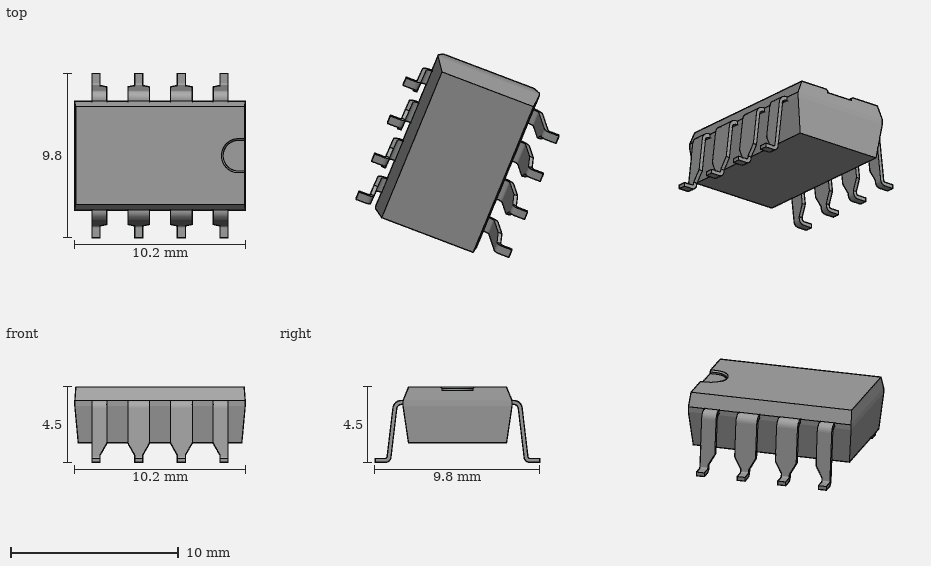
import cadquery as cq
import math


HOUSING_LENGTH = 10.16
HOUSING_WIDTH = 6.5
HOUSING_TOP = 4.5
HOUSING_BOTTOM = 1.17
BAND_TOP = 3.69
BAND_BOTTOM = 3.35
TOP_INSET_X = 0.06
TOP_INSET_Y = 0.34
BOTTOM_INSET_X = 0.2
BOTTOM_INSET_Y = 0.33

NOTCH_RADIUS = 1.02
NOTCH_CENTER_X = 4.67
NOTCH_DEPTH = 0.2
NOTCH_CHAMFER = 0.1
NOTCH_CHAMFER_ANGLE = 45.0

LEADS_PER_SIDE = 4
LEAD_TOP = 3.7
ROOT_DEPTH = 0.2
LEAD_PITCH = 2.54
LEAD_WIDTH = 1.3
STEM_WIDTH = 0.5
SHEET_THICKNESS = 0.24
SHOULDER_BOTTOM = 1.18
STEM_TOP = 0.47
LEG_TILT = math.radians(6.8)
UPPER_INNER_RADIUS = 0.27
LOWER_INNER_RADIUS = 0.1
OVERALL_WIDTH = 9.8
FOOT_TIP_Y = OVERALL_WIDTH / 2
FOOT_LENGTH = 0.6


def make_tapered_block(z_start, z_end, inset_x, inset_y):
    """Block from the full housing outline at z_start to an inset outline at z_end."""
    return (
        cq.Workplane("XY")
        .workplane(offset=z_start)
        .rect(HOUSING_LENGTH, HOUSING_WIDTH)
        .workplane(offset=z_end - z_start)
        .rect(HOUSING_LENGTH - 2 * inset_x, HOUSING_WIDTH - 2 * inset_y)
        .loft(ruled=True)
    )


def make_notch():
    """Shallow round-ended recess, open at the +X end, with a chamfered rim."""

    def make_channel(radius, depth, taper):
        open_end = HOUSING_LENGTH / 2 + NOTCH_RADIUS
        return (
            cq.Workplane("XY")
            .workplane(offset=HOUSING_TOP)
            .moveTo(open_end, radius)
            .lineTo(NOTCH_CENTER_X, radius)
            .threePointArc((NOTCH_CENTER_X - radius, 0), (NOTCH_CENTER_X, -radius))
            .lineTo(open_end, -radius)
            .close()
            .extrude(-depth, taper=taper)
        )

    rim = make_channel(NOTCH_RADIUS, NOTCH_CHAMFER, NOTCH_CHAMFER_ANGLE)
    recess = make_channel(NOTCH_RADIUS - NOTCH_CHAMFER, NOTCH_DEPTH, 0)
    return rim.union(recess)


def make_housing(leads):
    """Moulded body with a matching pocket for the root of every lead."""
    band = (
        cq.Workplane("XY")
        .workplane(offset=BAND_BOTTOM)
        .rect(HOUSING_LENGTH, HOUSING_WIDTH)
        .extrude(BAND_TOP - BAND_BOTTOM)
    )
    upper = make_tapered_block(BAND_TOP, HOUSING_TOP, TOP_INSET_X, TOP_INSET_Y)
    lower = make_tapered_block(BAND_BOTTOM, HOUSING_BOTTOM, BOTTOM_INSET_X, BOTTOM_INSET_Y)
    body = band.union(upper).union(lower).cut(make_notch())
    for lead in leads:
        body = body.cut(lead)
    return body


def point_on_circle(center, radius, angle):
    return (center[0] + radius * math.cos(angle), center[1] + radius * math.sin(angle))


def make_lead_strip():
    """Bent sheet of a +Y lead in its full width, centred on X = 0."""
    upper_outer_radius = UPPER_INNER_RADIUS + SHEET_THICKNESS
    lower_outer_radius = LOWER_INNER_RADIUS + SHEET_THICKNESS
    radius_sum = upper_outer_radius + LOWER_INNER_RADIUS

    lower_center = (FOOT_TIP_Y - FOOT_LENGTH, lower_outer_radius)
    upper_center_z = LEAD_TOP - upper_outer_radius
    leg_drop = upper_center_z - lower_center[1] + radius_sum * math.sin(LEG_TILT)
    leg_spread = leg_drop * math.tan(LEG_TILT) + radius_sum * math.cos(LEG_TILT)
    upper_center = (lower_center[0] - leg_spread, upper_center_z)

    upper_end = LEG_TILT
    upper_middle = (math.pi / 2 + upper_end) / 2
    lower_start = math.pi + LEG_TILT
    lower_end = 3 * math.pi / 2
    lower_middle = (lower_start + lower_end) / 2
    root_y = HOUSING_WIDTH / 2 - ROOT_DEPTH

    return (
        cq.Workplane("YZ")
        .workplane(offset=-LEAD_WIDTH / 2)
        .moveTo(root_y, LEAD_TOP)
        .lineTo(upper_center[0], LEAD_TOP)
        .threePointArc(
            point_on_circle(upper_center, upper_outer_radius, upper_middle),
            point_on_circle(upper_center, upper_outer_radius, upper_end),
        )
        .lineTo(*point_on_circle(lower_center, LOWER_INNER_RADIUS, lower_start))
        .threePointArc(
            point_on_circle(lower_center, LOWER_INNER_RADIUS, lower_middle),
            point_on_circle(lower_center, LOWER_INNER_RADIUS, lower_end),
        )
        .lineTo(FOOT_TIP_Y, SHEET_THICKNESS)
        .lineTo(FOOT_TIP_Y, 0)
        .lineTo(lower_center[0], 0)
        .threePointArc(
            point_on_circle(lower_center, lower_outer_radius, lower_middle),
            point_on_circle(lower_center, lower_outer_radius, lower_start),
        )
        .lineTo(*point_on_circle(upper_center, UPPER_INNER_RADIUS, upper_end))
        .threePointArc(
            point_on_circle(upper_center, UPPER_INNER_RADIUS, upper_middle),
            point_on_circle(upper_center, UPPER_INNER_RADIUS, math.pi / 2),
        )
        .lineTo(root_y, LEAD_TOP - SHEET_THICKNESS)
        .close()
        .extrude(LEAD_WIDTH)
    )


def make_lead_outline(shoulder_sides):
    """Prism of the lead's front outline; each side is -1 or +1 along X.

    The shoulders are cut square to the leg, so they tilt with it about a line along X
    that lies on the outer face of the leg, where the foot's bend begins.
    """
    outline = cq.Workplane("XY").box(STEM_WIDTH, FOOT_TIP_Y, LEAD_TOP, centered=(True, False, False))
    pivot_y = FOOT_TIP_Y - FOOT_LENGTH - LOWER_INNER_RADIUS
    pivot_z = SHEET_THICKNESS + LOWER_INNER_RADIUS
    shoulder_top = LEAD_TOP + FOOT_TIP_Y * math.sin(LEG_TILT)
    for side in shoulder_sides:
        shoulder = (
            cq.Workplane("XZ")
            .polyline([
                (0, shoulder_top),
                (side * LEAD_WIDTH / 2, shoulder_top),
                (side * LEAD_WIDTH / 2, SHOULDER_BOTTOM),
                (side * STEM_WIDTH / 2, STEM_TOP),
                (0, STEM_TOP),
            ])
            .close()
            .extrude(-FOOT_TIP_Y)
            .rotate((0, pivot_y, pivot_z), (1, pivot_y, pivot_z), math.degrees(LEG_TILT))
        )
        outline = outline.union(shoulder)
    return outline


def make_lead(shoulder_sides):
    return make_lead_strip().intersect(make_lead_outline(shoulder_sides))


def make_leads():
    """Row of leads on each long side; the end leads have only their inward shoulder."""
    leads = []
    for index in range(LEADS_PER_SIDE):
        if index == 0:
            shoulder_sides = [1]
        elif index == LEADS_PER_SIDE - 1:
            shoulder_sides = [-1]
        else:
            shoulder_sides = [-1, 1]
        lead_x = (index - (LEADS_PER_SIDE - 1) / 2) * LEAD_PITCH
        back_lead = make_lead(shoulder_sides).translate((lead_x, 0, 0))
        leads.append(back_lead)
        leads.append(back_lead.mirror("XZ"))
    return leads


leads = make_leads()
housing = make_housing(leads)

lead_solids = [lead.solids().val() for lead in leads]
result = cq.Compound.makeCompound([housing.solids().val(), *lead_solids])